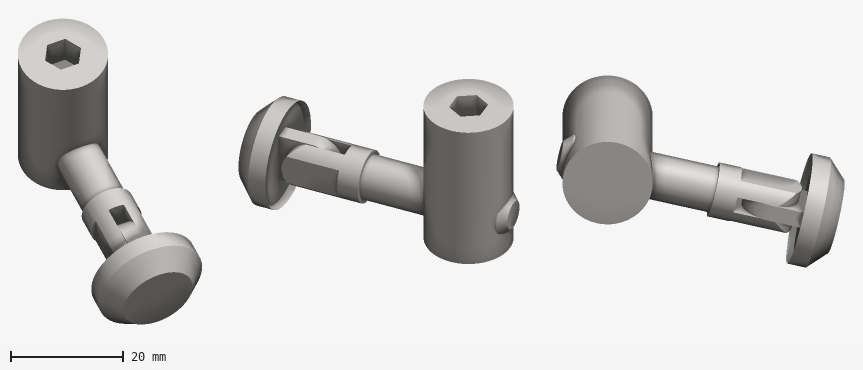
import cadquery as cq
import math


BARREL_DIAMETER = 16.0
BARREL_HEIGHT = 28.95
BARREL_BOTTOM = -7.5
HEX_ACROSS_FLATS = 6.05
HEX_DEPTH = 6.05

ROD_DIAMETER = 8.3
ROD_TIP_CHAMFER = 1.5
ROD_TIP_OVERHANG = 0.7
COLLAR_DIAMETER = 9.8
COLLAR_START = 19.25
COLLAR_LENGTH = 4.0
FORK_END_RADIUS = 4.8
FORK_WIDTH = 7.95
SLOT_WIDTH = 2.95

PIN_DIAMETER = 4.0
PIN_X = 29.7

DISC_DIAMETER = 20.0
DISC_RIM_LENGTH = 3.3
DISC_TAPER = 3.3
DISC_RECESS_DIAMETER = 18.8
DISC_RECESS_DEPTH = 1.15
TOTAL_LENGTH = 50.3

ROD_TIP = -BARREL_DIAMETER / 2 - ROD_TIP_OVERHANG
FORK_START = COLLAR_START + COLLAR_LENGTH
FORK_END = PIN_X + FORK_END_RADIUS
FOOT_END = ROD_TIP + TOTAL_LENGTH
DISC_START = FOOT_END - DISC_RIM_LENGTH - DISC_TAPER


def x_cylinder(diameter, start, end):
    """Cylinder on the rod axis."""
    return cq.Workplane("YZ", origin=(start, 0, 0)).circle(diameter / 2).extrude(end - start)


def pin_cylinder(diameter, width):
    """Cylinder along Y on the pin axis, centred on the rod axis."""
    return cq.Workplane("XZ", origin=(PIN_X, 0, 0)).circle(diameter / 2).extrude(width / 2, both=True)


def x_box(start, end, width, height):
    """Box from start to end along X, centred on the rod axis."""
    return cq.Workplane("XY").box(end - start, width, height).translate(((start + end) / 2, 0, 0))


def make_barrel():
    """Upright barrel with a hexagon socket in its top."""
    barrel = (
        cq.Workplane("XY", origin=(0, 0, BARREL_BOTTOM)).circle(BARREL_DIAMETER / 2).extrude(BARREL_HEIGHT)
    )
    hex_corner_diameter = HEX_ACROSS_FLATS / math.cos(math.pi / 6)
    socket_floor = BARREL_BOTTOM + BARREL_HEIGHT - HEX_DEPTH
    socket = (
        cq.Workplane("XY", origin=(0, 0, socket_floor))
        .transformed(rotate=(0, 0, 90))
        .polygon(6, hex_corner_diameter)
        .extrude(HEX_DEPTH)
    )
    return barrel.cut(socket)


def make_fork():
    """Two flat-sided prongs, rounded about the pin axis."""
    fork = x_cylinder(COLLAR_DIAMETER, FORK_START, FORK_END)
    profile = x_box(FORK_START, PIN_X, FORK_WIDTH, COLLAR_DIAMETER)
    profile = profile.union(pin_cylinder(2 * FORK_END_RADIUS, FORK_WIDTH))
    slot = x_box(FORK_START, FORK_END, SLOT_WIDTH, COLLAR_DIAMETER)
    return fork.intersect(profile).cut(slot).cut(pin_cylinder(PIN_DIAMETER, COLLAR_DIAMETER))


def make_rod():
    """Rod with a chamfered tip, a collar and a fork."""
    shaft = x_cylinder(ROD_DIAMETER, ROD_TIP, COLLAR_START).faces("<X").chamfer(ROD_TIP_CHAMFER)
    collar = x_cylinder(COLLAR_DIAMETER, COLLAR_START, FORK_START)
    return shaft.union(collar).union(make_fork())


def make_connector():
    """Barrel and forked rod in one piece; the rod tip stands out on the far side of the barrel."""
    return make_barrel().union(make_rod())


def make_pin():
    """Pivot pin through both prongs and the tongue."""
    return pin_cylinder(PIN_DIAMETER, FORK_WIDTH)


def make_foot():
    """Tapered disc with a recessed back and a drilled tongue in the fork slot."""
    rim_radius = DISC_DIAMETER / 2
    recess_floor = DISC_START + DISC_RECESS_DEPTH
    disc = (
        cq.Workplane("XY")
        .polyline(
            [
                (recess_floor, 0),
                (recess_floor, DISC_RECESS_DIAMETER / 2),
                (DISC_START, rim_radius),
                (DISC_START + DISC_RIM_LENGTH, rim_radius),
                (FOOT_END, rim_radius - DISC_TAPER),
                (FOOT_END, 0),
            ]
        )
        .close()
        .revolve(360, (0, 0, 0), (1, 0, 0))
    )
    tongue = x_box(PIN_X, recess_floor, SLOT_WIDTH, COLLAR_DIAMETER)
    tongue_end = pin_cylinder(COLLAR_DIAMETER, SLOT_WIDTH)
    pin_hole = pin_cylinder(PIN_DIAMETER, COLLAR_DIAMETER)
    return disc.union(tongue).union(tongue_end).cut(pin_hole)


connector = make_connector()
pin = make_pin()
foot = make_foot()

result = cq.Compound.makeCompound([*connector.solids().vals(), pin.val(), *foot.solids().vals()])